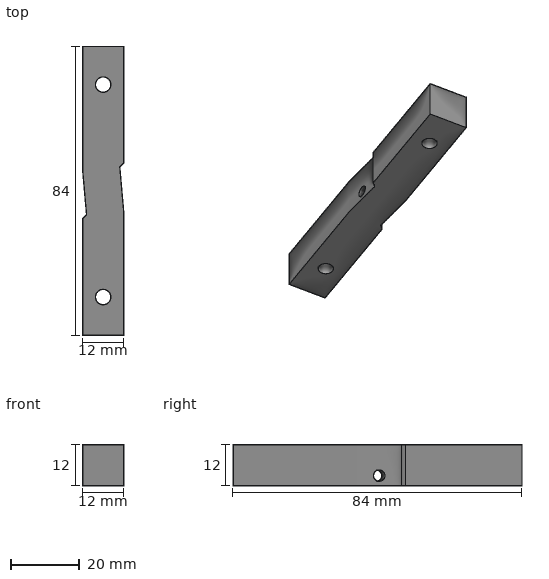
import cadquery as cq
import math

width = 12.0
length = 84.0
height = 12.0

mounting_hole_diameter = 4.4
mounting_hole_y = 30.875

flank_angle = 5.0
flank_start_y = 6.0
shoulder_y = -8.05

cross_hole_diameter = 3.3
cross_hole_z = 3.0


def bar():
    return cq.Workplane("XY").box(width, length, height, centered=(True, True, False))


def flank_cutter():
    """Wedge between the -X side, the slanted flank and the 45 degree shoulder."""
    slope = math.tan(math.radians(flank_angle))
    depth = (flank_start_y - shoulder_y) * slope / (1 + slope)
    side_x = -width / 2
    return (
        cq.Workplane("XY")
        .moveTo(side_x, flank_start_y)
        .lineTo(side_x + depth, shoulder_y + depth)
        .lineTo(side_x, shoulder_y)
        .close()
        .extrude(height)
    )


def mounting_holes():
    return (
        cq.Workplane("XY")
        .pushPoints([(0, -mounting_hole_y), (0, mounting_hole_y)])
        .circle(mounting_hole_diameter / 2)
        .extrude(height)
    )


def cross_hole():
    drill_reach = width
    return (
        cq.Workplane("YZ")
        .center(0, cross_hole_z)
        .circle(cross_hole_diameter / 2)
        .extrude(drill_reach, both=True)
        .rotate((0, 0, 0), (0, 0, 1), flank_angle)
    )


result = bar()
for turn in (0, 180):
    result = result.cut(flank_cutter().rotate((0, 0, 0), (0, 0, 1), turn))
result = result.cut(mounting_holes()).cut(cross_hole())